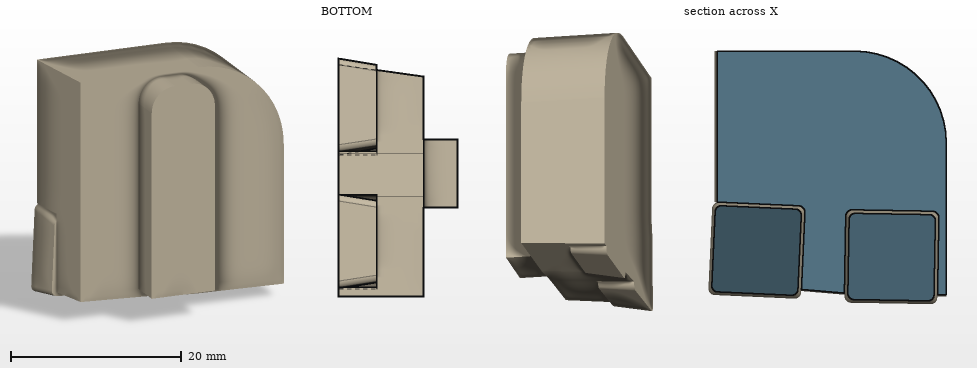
import cadquery as cq
import math

holder_depth = 10.0
holder_width = 27.3
holder_top = 29.8
crown_radius = 10.85
front_relief = 8.0
bottom_relief = 4.1
underside_start = 0.9

key_depth = 4.0
key_width = 8.05
key_center_y = 12.8
key_bottom = 3.3
key_top = 29.3
key_corner_radius = 2.98

insert_side = 10.9
insert_depth = 4.5
insert_corner_radius = 0.75
insert_relief = 9.0
rear_insert_tilt = 1.0
front_insert_tilt = 2.6
insert_seats = [
    (20.83, 5.55, rear_insert_tilt),
    (4.95, 6.32, front_insert_tilt),
]

middle_slope = 4.9
front_slope = 2.4
rear_break_y = 15.5
front_break_y = 10.43


def rise(run, degrees):
    return run * math.tan(math.radians(degrees))


def holder_wire(x):
    """Holder outline in the plane at the given x."""
    front_y = rise(x, front_relief)
    rear_z = underside_start + rise(x, bottom_relief)
    rear_break_z = rear_z + rise(holder_width - rear_break_y, rear_insert_tilt)
    front_break_z = rear_break_z + rise(rear_break_y - front_break_y, middle_slope)
    front_z = front_break_z + rise(front_break_y - front_y, front_slope)
    arc_center_y = holder_width - crown_radius
    arc_center_z = holder_top - crown_radius
    arc_offset = crown_radius * math.sqrt(0.5)
    return (
        cq.Workplane("YZ", origin=(x, 0, 0))
        .moveTo(front_y, front_z)
        .lineTo(front_y, holder_top)
        .lineTo(arc_center_y, holder_top)
        .threePointArc(
            (arc_center_y + arc_offset, arc_center_z + arc_offset),
            (holder_width, arc_center_z),
        )
        .lineTo(holder_width, rear_z)
        .lineTo(rear_break_y, rear_break_z)
        .lineTo(front_break_y, front_break_z)
        .close()
        .val()
    )


def make_key():
    """Key with rounded upper corners and a square lower end."""
    return (
        cq.Workplane("YZ", origin=(holder_depth, key_center_y, (key_bottom + key_top) / 2))
        .rect(key_width, key_top - key_bottom)
        .extrude(key_depth)
        .edges("|X and >Z")
        .fillet(key_corner_radius)
    )


def insert_wire(x, side):
    """Rounded square centered on the X axis."""
    outline = cq.Sketch().rect(side, side).vertices().fillet(insert_corner_radius)
    return cq.Workplane("YZ", origin=(x, 0, 0)).placeSketch(outline).extrude(0.3).faces("<X").wires().val()


def insert_block(rear_side):
    """Rounded square block running from the mounting face to the pocket floor."""
    wires = [insert_wire(0, insert_side), insert_wire(insert_depth, rear_side)]
    return cq.Workplane(cq.Solid.makeLoft(wires, True))


def place_in_seat(block, center_y, center_z, tilt):
    return (
        block
        .rotate((0, 0, 0), (1, 0, 0), -tilt)
        .translate((0, center_y, center_z))
    )


def make_insert(seat):
    """Insert narrowing toward the pocket floor."""
    rear_side = insert_side - 2 * rise(insert_depth, insert_relief)
    return place_in_seat(insert_block(rear_side), *seat)


def make_pocket(seat):
    """Straight-walled pocket that fits the wide face of an insert."""
    return place_in_seat(insert_block(insert_side), *seat)


def make_front_opening():
    """Square-cornered outer half of the front pocket, open through the -Y face."""
    half_side = insert_side / 2
    opening = cq.Workplane().box(insert_depth, half_side, insert_side)
    opening = opening.translate((insert_depth / 2, -half_side / 2, 0))
    return place_in_seat(opening, *insert_seats[-1])


def make_holder():
    body = cq.Workplane(cq.Solid.makeLoft([holder_wire(0), holder_wire(holder_depth)], True))
    body = body.union(make_key())
    for seat in insert_seats:
        body = body.cut(make_pocket(seat))
    return body.cut(make_front_opening())


holder = make_holder()
inserts = [make_insert(seat) for seat in insert_seats]

result = cq.Compound.makeCompound([holder.solids().val(), *[insert.val() for insert in inserts]])